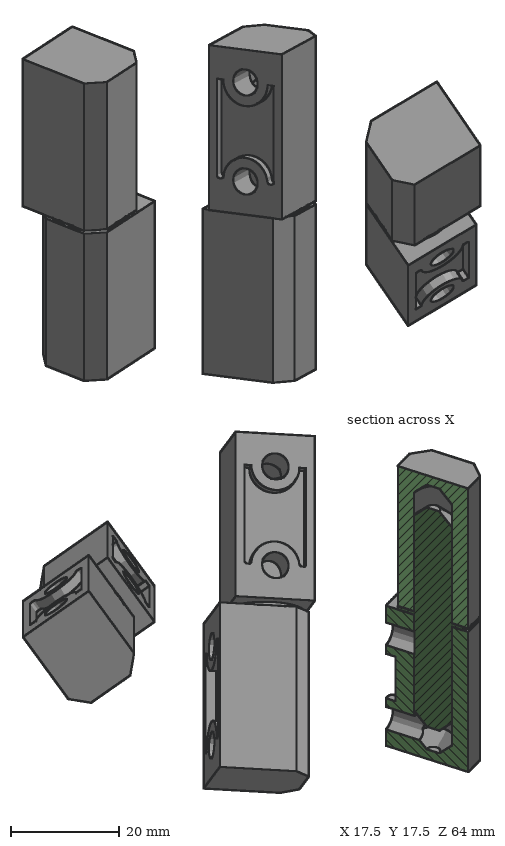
import cadquery as cq

total_height = 64.0
leaf_height = 31.7
leaf_width = 15.0
leaf_depth = 17.5
leaf_chamfer = 3.0

axis_y = leaf_width / 2
axis_x = leaf_depth - leaf_width / 2
mid_height = total_height / 2
leaf_bottom = total_height - leaf_height

bore_radius = 4.0
bore_top = 59.15
end_chamfer = 2.6

hole_diameter = 5.0
upper_hole_z = 57.7
lower_hole_z = 38.7
recess_width = 11.65
recess_depth = 2.0
recess_arc_radius = 4.55
recess_corner_radius = 0.6

pin_end_z = 56.8
collar_radius = leaf_width / 2
collar_height = total_height - 2 * leaf_height
notch_radius = 0.95


def make_bore():
    """Cutter for the pin bore: a cylinder with a chamfered end."""
    return (
        cq.Workplane("XZ", origin=(axis_x, axis_y, 0))
        .moveTo(0, leaf_bottom)
        .lineTo(bore_radius, leaf_bottom)
        .lineTo(bore_radius, bore_top)
        .lineTo(bore_radius - end_chamfer, bore_top + end_chamfer)
        .lineTo(0, bore_top + end_chamfer)
        .close()
        .revolve(360, (0, 0, 0), (0, 1, 0))
    )


def make_recess():
    """Cutter for the shallow recess, rounded around both screw holes."""
    half_width = recess_width / 2
    recess = (
        cq.Workplane("YZ", origin=(0, axis_y, 0))
        .moveTo(-half_width, lower_hole_z)
        .lineTo(-recess_arc_radius, lower_hole_z)
        .threePointArc((0, lower_hole_z + recess_arc_radius), (recess_arc_radius, lower_hole_z))
        .lineTo(half_width, lower_hole_z)
        .lineTo(half_width, upper_hole_z)
        .lineTo(recess_arc_radius, upper_hole_z)
        .threePointArc((0, upper_hole_z - recess_arc_radius), (-recess_arc_radius, upper_hole_z))
        .lineTo(-half_width, upper_hole_z)
        .close()
        .extrude(recess_depth)
    )
    margin = 0.05
    lower_corners = cq.selectors.BoxSelector(
        (-margin, axis_y - leaf_width, lower_hole_z - margin),
        (leaf_depth, axis_y + leaf_width, lower_hole_z + margin),
    )
    return recess.edges("|X").edges(lower_corners).fillet(recess_corner_radius)


def make_leaf():
    """Upper leaf, with its mounting face on -X."""
    leaf = (
        cq.Workplane("XY", origin=(0, 0, leaf_bottom))
        .box(leaf_depth, leaf_width, leaf_height, centered=False)
        .edges("|Z and >X")
        .chamfer(leaf_chamfer)
    )
    screw_holes = (
        cq.Workplane("YZ")
        .pushPoints([(axis_y, upper_hole_z), (axis_y, lower_hole_z)])
        .circle(hole_diameter / 2)
        .extrude(axis_x)
    )
    return leaf.cut(make_bore()).cut(screw_holes).cut(make_recess())


def turn_over(leaf):
    """Turn a leaf half a turn about the diagonal, so it hangs below with its mounting face on +Y."""
    start = (axis_x, axis_y, mid_height)
    end = (axis_x + 0.65, axis_y - 0.65, mid_height)
    return leaf.rotate(start, end, 180)


def make_pin():
    """Pin with chamfered ends and a notched collar that keeps the leaves apart."""
    pin_length = 2 * (pin_end_z - mid_height)
    shaft = (
        cq.Workplane("XY", origin=(axis_x, axis_y, total_height - pin_end_z))
        .circle(bore_radius)
        .extrude(pin_length)
        .faces("<Z or >Z")
        .chamfer(end_chamfer)
    )
    collar_plane = cq.Workplane("XY", origin=(axis_x, axis_y, mid_height - collar_height / 2))
    collar = collar_plane.circle(collar_radius).extrude(collar_height)
    notch = collar_plane.center(0, -collar_radius).circle(notch_radius).extrude(collar_height)
    return shaft.union(collar.cut(notch))


upper_leaf = make_leaf()
lower_leaf = turn_over(upper_leaf)
pin = make_pin()

result = cq.Compound.makeCompound([upper_leaf.val(), lower_leaf.val(), pin.val()])